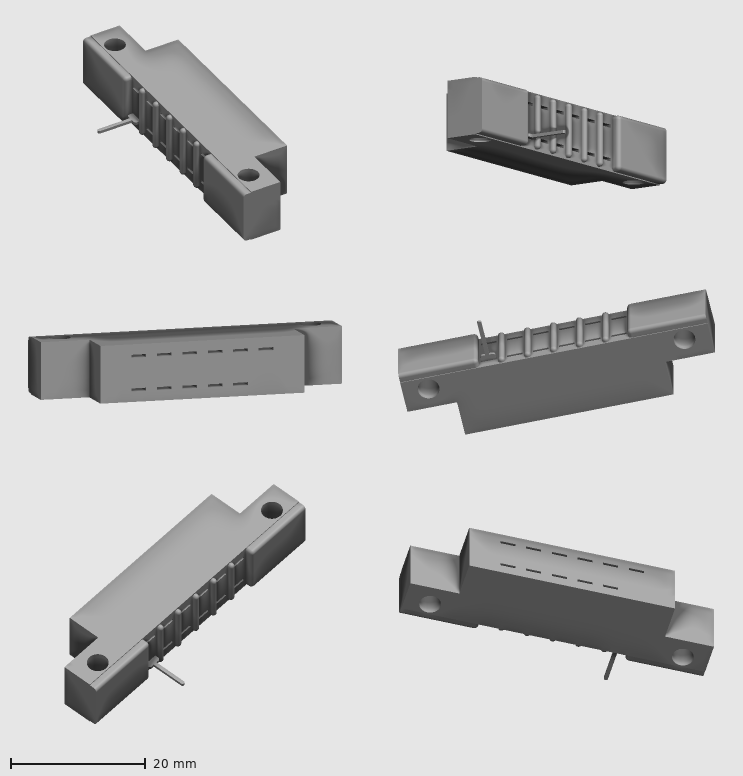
import cadquery as cq


length = 46.79
height = 8.71
body_depth = 10.7
mating_width = 31.7
mating_depth = 5.65
ear_hole_diameter = 3.25
ear_hole_spacing = 38.95
ear_hole_y = 1.9

block_inner_spacing = 22.7
block_projection = 1.3
block_step = 0.14
block_height = height - 2 * block_step
block_fillet = 0.6

columns = 6
pitch = 3.96
row_spacing = 5.08
slot_width = 2.3
slot_height = 0.46
rib_width = 1.04
rib_height = 8.25
rib_projection = 0.74

head_projection = 1.0
head_fillet = 0.4
tail_width = 0.6
tail_projection = 6.72
tip_chamfer = 0.12

column_positions = [(i - (columns - 1) / 2) * pitch for i in range(columns)]
row_positions = [-row_spacing / 2, row_spacing / 2]
contact_x = column_positions[0]
contact_z = row_positions[0]


def box(x_min, x_max, y_min, y_max, z_size):
    """Box between the given X and Y limits, centred on Z = 0."""
    return cq.Workplane("XY").box(
        x_max - x_min, y_max - y_min, z_size, centered=False
    ).translate((x_min, y_min, -z_size / 2))


def end_block():
    """Block at the -X end, rounded on its front and inner edges and flush at the outer end."""
    block = box(-length / 2, -block_inner_spacing / 2, -block_projection, 0, block_height)
    inner_edges = block.faces(">X").edges("not >Y")
    front_edges = block.faces("<Y").edges("|X")
    return inner_edges.add(front_edges).fillet(block_fillet)


def rib(x_centre):
    """Upright rib between two contact columns, with a fully rounded front and rounded ends."""
    radius = rib_width / 2
    axis_y = radius - rib_projection
    end_z = rib_height / 2 - radius
    base = cq.Workplane("XZ").slot2D(rib_height, rib_width, 90).extrude(-axis_y)
    front = cq.Workplane("XY").circle(radius).extrude(end_z, both=True)
    for z in (-end_z, end_z):
        front = front.union(cq.Workplane("XY").sphere(radius).translate((0, 0, z)))
    front = front.translate((0, axis_y, 0))
    return base.union(front).translate((x_centre, 0, 0))


def make_housing():
    ear_depth = body_depth - mating_depth
    ears = box(-length / 2, length / 2, 0, ear_depth, height)
    mating_part = box(-mating_width / 2, mating_width / 2, ear_depth, body_depth, height)
    housing = ears.union(mating_part)

    left_block = end_block()
    housing = housing.union(left_block).union(left_block.mirror("YZ"))
    for left, right in zip(column_positions, column_positions[1:]):
        housing = housing.union(rib((left + right) / 2))

    ear_holes = (
        cq.Workplane("XY")
        .pushPoints([(-ear_hole_spacing / 2, ear_hole_y), (ear_hole_spacing / 2, ear_hole_y)])
        .circle(ear_hole_diameter / 2)
        .extrude(height / 2, both=True)
    )
    housing = housing.cut(ear_holes)

    for x in column_positions:
        for z in row_positions:
            slot = box(x - slot_width / 2, x + slot_width / 2, 0, body_depth, slot_height)
            housing = housing.cut(slot.translate((0, 0, z)))
    return housing


def make_contact():
    """Flat contact filling its slot, with a rounded head and a narrow tail in front of it."""
    blade = box(-slot_width / 2, slot_width / 2, -head_projection, body_depth, slot_height)
    blade = blade.faces("<Y").edges("|Z").fillet(head_fillet)
    tail = box(-tail_width / 2, tail_width / 2, -tail_projection, 0, slot_height)
    tail = tail.faces("<Y").edges("|Z").chamfer(tip_chamfer)
    return blade.union(tail).translate((contact_x, 0, contact_z))


housing = make_housing()
contact = make_contact()
result = cq.Compound.makeCompound([housing.val(), contact.val()])